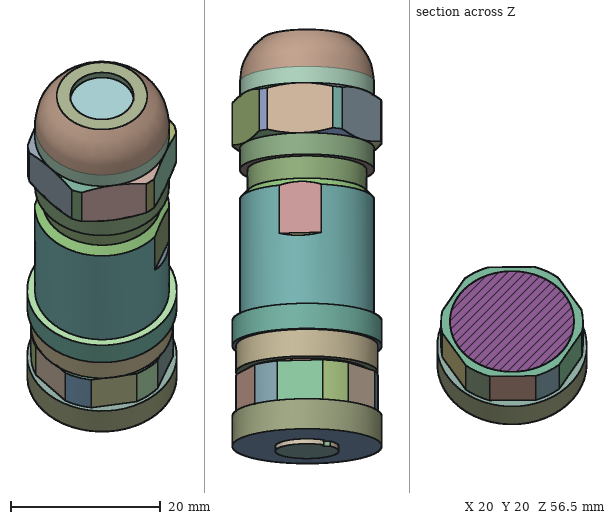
import cadquery as cq
import math

PLUG_TOP = 0.7
BASE_RING_TOP = 4.8
LOWER_HEX_TOP = 10.35
GROOVE_TOP = 10.8
STEP_RING_TOP = 14.45
BODY_RING_TOP = 17.9
BODY_TOP = 35.6
NECK_TOP = 38.65
NUT_BOTTOM = 41.6
NUT_TOP = 48.5
DOME_BOTTOM = 50.75
TOTAL_HEIGHT = 56.5

RING_RADIUS = 10.0
STEP_RING_RADIUS = 9.5
BODY_RADIUS = 9.0
NECK_RADIUS = 7.95
GROOVE_RADIUS = 8.3
PLUG_RADIUS = 4.25
DOME_TOP_RADIUS = 6.05

ENTRY_RADIUS = 4.25
ENTRY_DEPTH = 1.0

FLAT_DIRECTION = 225
HEX_SIDES = 6
HEX_APOTHEM = 9.0
NUT_CHAMFER_ANGLE = 30

WRENCH_FLAT_OFFSET = 8.55
WRENCH_FLAT_BOTTOM = 27.95

KEYWAY_RADIUS = 0.55


def cylinder(radius, bottom, top):
    return cq.Workplane("XY", origin=(0, 0, bottom)).circle(radius).extrude(top - bottom)


def hexagon(bottom, top):
    """Hexagonal prism with one flat facing FLAT_DIRECTION."""
    half_side_angle = 180 / HEX_SIDES
    corner_diameter = 2 * HEX_APOTHEM / math.cos(math.radians(half_side_angle))
    base = cq.Workplane("XY", origin=(0, 0, bottom))
    prism = base.polygon(HEX_SIDES, corner_diameter).extrude(top - bottom)
    return prism.rotate((0, 0, 0), (0, 0, 1), FLAT_DIRECTION - half_side_angle)


def make_base():
    """Plug insert with its keyway, hexagon, turned rings and the groove between them."""
    plug = cylinder(PLUG_RADIUS, 0, PLUG_TOP)
    keyway = cylinder(KEYWAY_RADIUS, 0, PLUG_TOP).translate((0, -PLUG_RADIUS, 0))
    lower_hex = cylinder(STEP_RING_RADIUS, BASE_RING_TOP, LOWER_HEX_TOP).intersect(
        hexagon(BASE_RING_TOP, LOWER_HEX_TOP)
    )
    return (
        plug.cut(keyway)
        .union(cylinder(RING_RADIUS, PLUG_TOP, BASE_RING_TOP))
        .union(lower_hex)
        .union(cylinder(GROOVE_RADIUS, LOWER_HEX_TOP, GROOVE_TOP))
        .union(cylinder(STEP_RING_RADIUS, GROOVE_TOP, STEP_RING_TOP))
        .union(cylinder(RING_RADIUS, STEP_RING_TOP, BODY_RING_TOP))
    )


def make_body():
    """Sleeve with a 45 degree upper chamfer down to the neck and two wrench flats."""
    body = cylinder(BODY_RADIUS, BODY_RING_TOP, BODY_TOP)
    body = body.faces(">Z").chamfer(BODY_RADIUS - NECK_RADIUS)

    reach = RING_RADIUS - WRENCH_FLAT_OFFSET
    flat_cutter = (
        cq.Workplane("XZ")
        .moveTo(WRENCH_FLAT_OFFSET, BODY_TOP)
        .lineTo(WRENCH_FLAT_OFFSET, WRENCH_FLAT_BOTTOM)
        .lineTo(RING_RADIUS, WRENCH_FLAT_BOTTOM - reach)
        .lineTo(RING_RADIUS, BODY_TOP)
        .close()
        .extrude(BODY_RADIUS, both=True)
    )
    for direction in (FLAT_DIRECTION, FLAT_DIRECTION + 180):
        body = body.cut(flat_cutter.rotate((0, 0, 0), (0, 0, 1), direction))
    return body


def make_nut():
    """Hexagon nut with rounded corners and a turned chamfer at both ends."""
    chamfer_width = RING_RADIUS - HEX_APOTHEM
    chamfer_height = chamfer_width * math.tan(math.radians(NUT_CHAMFER_ANGLE))
    turned_blank = (
        cq.Workplane("XZ")
        .moveTo(0, NUT_BOTTOM)
        .lineTo(HEX_APOTHEM, NUT_BOTTOM)
        .lineTo(RING_RADIUS, NUT_BOTTOM + chamfer_height)
        .lineTo(RING_RADIUS, NUT_TOP - chamfer_height)
        .lineTo(HEX_APOTHEM, NUT_TOP)
        .lineTo(0, NUT_TOP)
        .close()
        .revolve(360, (0, 0, 0), (0, 1, 0))
    )
    return turned_blank.intersect(hexagon(NUT_BOTTOM, NUT_TOP))


def make_dome():
    """Domed cap: the arc leaves the cylinder vertically and ends at the flat top."""
    dome = (
        cq.Workplane("XZ")
        .moveTo(0, NUT_TOP)
        .lineTo(BODY_RADIUS, NUT_TOP)
        .lineTo(BODY_RADIUS, DOME_BOTTOM)
        .tangentArcPoint((DOME_TOP_RADIUS, TOTAL_HEIGHT), relative=False)
        .lineTo(0, TOTAL_HEIGHT)
        .close()
        .revolve(360, (0, 0, 0), (0, 1, 0))
    )
    return dome.cut(cylinder(ENTRY_RADIUS, TOTAL_HEIGHT - ENTRY_DEPTH, TOTAL_HEIGHT))


result = (
    make_base()
    .union(make_body())
    .union(cylinder(NECK_RADIUS, BODY_TOP, NECK_TOP))
    .union(cylinder(BODY_RADIUS, NECK_TOP, NUT_BOTTOM))
    .union(make_nut())
    .union(make_dome())
)